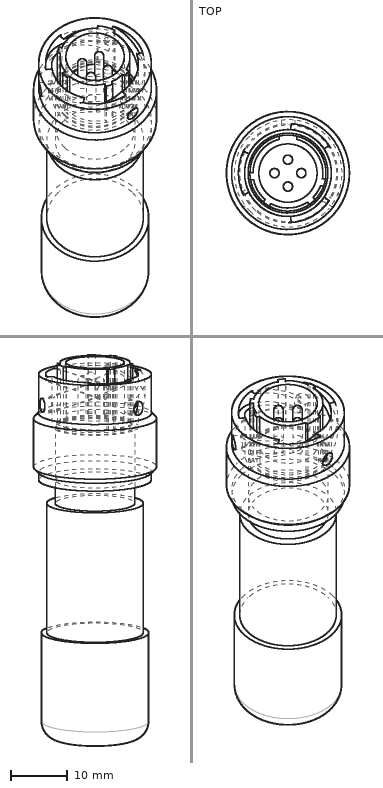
import cadquery as cq
import math

TOTAL_HEIGHT = 68.0
CAP_TOP = 19.2
BARREL_TOP = 42.6
RING_BOTTOM = 46.8
RING_TOP = 65.9

CAP_RADIUS = 9.5
CAP_FILLET = 3.2
BARREL_RADIUS = 8.6

SHELL_RADIUS = 7.1
NOSE_RADIUS = 6.2
KEY_RADIUS = 6.7
SHOULDER_BEVEL = SHELL_RADIUS - KEY_RADIUS
SHOULDER_TOP = 57.1
SOCKET_RADIUS = 5.2
SOCKET_FLOOR = 58.5
MAIN_KEY_ANGLE = 90.0
MAIN_KEY_WIDTH = 3.1
MINOR_KEY_WIDTH = 1.3
MINOR_KEY_OFFSETS = (95.0, 145.0, 220.0, 255.0)
PIN_COUNT = 4
PIN_CIRCLE_RADIUS = 2.4
PIN_RADIUS = 0.8
PIN_TOP = 65.8

RING_RADIUS = 10.0
BAND_DIAMETER = 21.8
BAND_RADIUS = BAND_DIAMETER / 2
BAND_CHAMFER = BAND_RADIUS - RING_RADIUS
BAND_BOTTOM = 48.2
BAND_TOP = 58.8
RING_BORE_RADIUS = 7.7
RING_BORE_FLOOR = 56.45

GROOVE_COUNT = 3
GROOVE_RADIUS = 8.8
GROOVE_HEIGHT = 2.85
GROOVE_PITCH = 19.6
BAYONET_HOLE_RADIUS = 1.2
BAYONET_HOLE_Z = RING_TOP - GROOVE_PITCH / 4
FIRST_HOLE_ANGLE = -30.0


def cylinder(radius, bottom, top):
    return cq.Workplane("XY").workplane(offset=bottom).circle(radius).extrude(top - bottom)


def make_cap():
    return cylinder(CAP_RADIUS, 0, CAP_TOP).faces("<Z").edges().fillet(CAP_FILLET)


def make_barrel():
    return cylinder(BARREL_RADIUS, CAP_TOP, BARREL_TOP)


def make_key(angle, width):
    """Straight-sided key on the nose, with its outer face on the key circle."""
    bar = (
        cq.Workplane("XY")
        .workplane(offset=SHOULDER_TOP)
        .center(SHELL_RADIUS / 2, 0)
        .rect(SHELL_RADIUS, width)
        .extrude(TOTAL_HEIGHT - SHOULDER_TOP)
        .rotate((0, 0, 0), (0, 0, 1), angle)
    )
    return bar.intersect(cylinder(KEY_RADIUS, SHOULDER_TOP, TOTAL_HEIGHT))


def make_pin(angle):
    """Round-tipped contact pin on the pin circle, standing on the socket floor."""
    x = PIN_CIRCLE_RADIUS * math.cos(math.radians(angle))
    y = PIN_CIRCLE_RADIUS * math.sin(math.radians(angle))
    dome_center = PIN_TOP - PIN_RADIUS
    shank = cylinder(PIN_RADIUS, SOCKET_FLOOR, dome_center)
    dome = cq.Workplane("XY").sphere(PIN_RADIUS).translate((0, 0, dome_center))
    return shank.union(dome).translate((x, y, 0))


def make_plug():
    plug = cylinder(SHELL_RADIUS, BARREL_TOP, SHOULDER_TOP).faces(">Z").edges().chamfer(SHOULDER_BEVEL)
    plug = plug.union(cylinder(NOSE_RADIUS, SHOULDER_TOP, TOTAL_HEIGHT))
    plug = plug.union(make_key(MAIN_KEY_ANGLE, MAIN_KEY_WIDTH))
    for offset in MINOR_KEY_OFFSETS:
        plug = plug.union(make_key(MAIN_KEY_ANGLE + offset, MINOR_KEY_WIDTH))
    plug = plug.cut(cylinder(SOCKET_RADIUS, SOCKET_FLOOR, TOTAL_HEIGHT))
    for index in range(PIN_COUNT):
        plug = plug.union(make_pin(index * 360 / PIN_COUNT))
    return plug


def make_bayonet_groove():
    """Helical cutter that starts at angle zero and climbs out through the rim of the ring."""
    inner_radius = (NOSE_RADIUS + KEY_RADIUS) / 2
    climb = RING_TOP + GROOVE_HEIGHT - BAYONET_HOLE_Z
    path = cq.Wire.makeHelix(GROOVE_PITCH, climb, GROOVE_RADIUS)
    groove = (
        cq.Workplane("XZ")
        .center((inner_radius + GROOVE_RADIUS) / 2, 0)
        .rect(GROOVE_RADIUS - inner_radius, GROOVE_HEIGHT)
        .sweep(cq.Workplane(path), isFrenet=True)
    )
    return groove.translate((0, 0, BAYONET_HOLE_Z))


def make_bayonet_hole():
    """Radial cutter along +X through the ring wall."""
    return (
        cq.Workplane("YZ")
        .center(0, BAYONET_HOLE_Z)
        .circle(BAYONET_HOLE_RADIUS)
        .extrude(BAND_RADIUS)
    )


def make_ring():
    band = cylinder(BAND_RADIUS, BAND_BOTTOM, BAND_TOP).faces("<Z or >Z").edges().chamfer(BAND_CHAMFER)
    ring = cylinder(RING_RADIUS, RING_BOTTOM, RING_TOP).union(band)
    ring = ring.cut(cylinder(SHELL_RADIUS, RING_BOTTOM, RING_TOP))
    ring = ring.cut(cylinder(RING_BORE_RADIUS, RING_BORE_FLOOR, RING_TOP))
    groove = make_bayonet_groove()
    hole = make_bayonet_hole()
    for index in range(GROOVE_COUNT):
        angle = FIRST_HOLE_ANGLE + index * 360 / GROOVE_COUNT
        ring = ring.cut(groove.rotate((0, 0, 0), (0, 0, 1), angle))
        ring = ring.cut(hole.rotate((0, 0, 0), (0, 0, 1), angle))
    return ring


cap = make_cap()
barrel = make_barrel()
plug = make_plug()
ring = make_ring()

result = cq.Compound.makeCompound([cap.val(), barrel.val(), plug.val(), ring.val()])